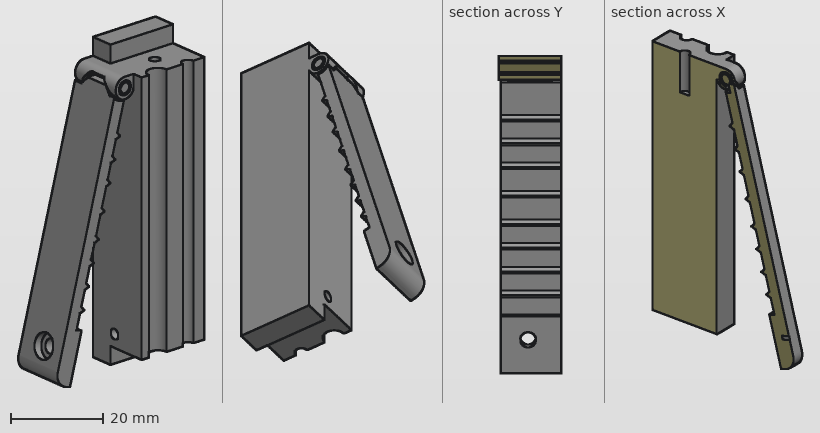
import cadquery as cq
import math

housing_width = 16.3
housing_depth = 17.9
housing_height = 75.3
spine_width = 5.9
end_step = 4.45

small_groove_diameter = 3.0
small_groove_y = 13.25
large_groove_diameter = 5.05
large_groove_y = 4.6

pilot_diameter = 2.5
top_pilot_depth = 10.0
top_pilot_x = 10.25
top_pilot_y = housing_depth / 2

barrel_radius = 2.6
barrel_length = 13.6
bore_diameter = 3.4
hinge_y = -2.5
hinge_z = housing_height - end_step - barrel_radius

window_center_x = barrel_length / 2
window_top = 1.9
window_bottom = -3.4
window_top_width = 4.4
window_side_run = 4.45
window_taper = 15.0

lever_angle = 15.0
lever_width = 13.2
lever_length = 68.05
outer_face = 2.1
inner_face = 0.9
pad_face = 2.4
pad_start = 55.25
tip_radius = 3.4
shoulder_radius = 3.15

tooth_base = 1.5
tooth_height = 1.05
first_tooth = 11.1
tooth_pitch = 5.35
wide_pitch = 6.4
tooth_steps = [tooth_pitch] * 2 + [wide_pitch] * 2 + [tooth_pitch] * 3

lever_screw_x = 7.2
lever_screw_drop = 60.5
lever_screw_diameter = 3.4
counterbore_diameter = 6.0
counterbore_depth = 2.0

pin_diameter = 2.5
tongue_top = 0.45
tongue_root = 3.8
tongue_back = 0.4
tongue_chamfer_depth = 0.75
tongue_chamfer_height = 1.0
tongue_top_width = 3.9


def x_prism(profile, length):
    """Extrude a list of (y, z) points along X from X = 0."""
    return cq.Workplane("YZ").polyline(profile).close().extrude(length)


def x_cylinder(diameter, length, y=0.0, z=0.0):
    return cq.Workplane("YZ").center(y, z).circle(diameter / 2).extrude(length)


def trapezoid(top, bottom, top_width, side_run):
    """Outline widening from top to bottom, symmetric about the local X origin."""
    half_top = top_width / 2
    half_bottom = half_top + side_run
    return [(-half_bottom, bottom), (-half_top, top), (half_top, top), (half_bottom, bottom)]


def make_block():
    spine = cq.Workplane("XY").box(spine_width, housing_depth, housing_height, centered=False)
    body_height = housing_height - 2 * end_step
    body = cq.Workplane("XY").box(housing_width, housing_depth, body_height, centered=False)
    return spine.union(body.translate((0, 0, end_step)))


def make_barrel():
    barrel = x_cylinder(2 * barrel_radius, barrel_length, hinge_y, hinge_z)
    bridge = x_prism(
        [(0, hinge_z), (0, hinge_z + barrel_radius),
         (hinge_y, hinge_z + barrel_radius), (hinge_y, hinge_z)],
        barrel_length,
    )
    return barrel.union(bridge)


def make_window():
    outline = trapezoid(window_top, window_bottom, window_top_width, window_side_run)
    front = cq.Workplane("XZ", origin=(window_center_x, hinge_y - barrel_radius, hinge_z))
    return front.polyline(outline).close().extrude(-barrel_radius, taper=window_taper)


def make_groove(diameter, y):
    return (
        cq.Workplane("XY").center(housing_width, y).circle(diameter / 2).extrude(housing_height)
    )


def make_housing():
    housing = make_block().union(make_barrel())
    housing = housing.cut(x_cylinder(bore_diameter, barrel_length, hinge_y, hinge_z))
    housing = housing.cut(make_window())
    housing = housing.cut(make_groove(small_groove_diameter, small_groove_y))
    housing = housing.cut(make_groove(large_groove_diameter, large_groove_y))

    shelf_z = housing_height - end_step
    top_pilot = (
        cq.Workplane("XY", origin=(top_pilot_x, top_pilot_y, shelf_z))
        .circle(pilot_diameter / 2).extrude(-top_pilot_depth)
    )
    front_pilot = (
        cq.Workplane("XZ", origin=(lever_screw_x, 0, hinge_z - lever_screw_drop))
        .circle(pilot_diameter / 2).extrude(-housing_depth)
    )
    return housing.cut(top_pilot).cut(front_pilot)


def make_arm():
    tip_offset = tip_radius * math.sqrt(0.5)
    tip_center_y = -outer_face + tip_radius
    tip_center_z = -lever_length + tip_radius
    arm = (
        cq.Workplane("YZ")
        .moveTo(-outer_face, 0)
        .lineTo(-outer_face, tip_center_z)
        .threePointArc(
            (tip_center_y - tip_offset, tip_center_z - tip_offset),
            (tip_center_y, -lever_length),
        )
        .lineTo(pad_face, -lever_length)
        .lineTo(pad_face, -pad_start)
        .lineTo(inner_face, -pad_start)
        .lineTo(inner_face, 0)
        .close()
        .extrude(lever_width)
    )
    return arm.cut(x_cylinder(2 * shoulder_radius, lever_width))


def make_tooth(drop):
    half_base = tooth_base / 2
    return x_prism(
        [(0, half_base - drop), (inner_face, half_base - drop), (inner_face + tooth_height, -drop),
         (inner_face, -half_base - drop), (0, -half_base - drop)],
        lever_width,
    )


def make_tongue():
    side = x_prism(
        [(-tongue_back, tongue_top),
         (-outer_face + tongue_chamfer_depth, tongue_top),
         (-outer_face, tongue_top - tongue_chamfer_height),
         (-outer_face, -tongue_root),
         (-tongue_back, -tongue_root)],
        barrel_length,
    )
    flank = tongue_top + math.sqrt(shoulder_radius**2 - outer_face**2)
    half_root = tongue_top_width / 2 + flank
    outline = trapezoid(tongue_top, tongue_top - flank, tongue_top_width, flank)
    outline += [(half_root, -tongue_root), (-half_root, -tongue_root)]
    front = (
        cq.Workplane("XZ", origin=(window_center_x, 0, 0))
        .polyline(outline).close().extrude(outer_face)
    )
    return side.intersect(front)


def make_screw_hole():
    through = (
        cq.Workplane("XZ", origin=(lever_screw_x, -outer_face, -lever_screw_drop))
        .circle(lever_screw_diameter / 2).extrude(-(outer_face + pad_face))
    )
    counterbore = (
        cq.Workplane("XZ", origin=(lever_screw_x, -outer_face, -lever_screw_drop))
        .circle(counterbore_diameter / 2).extrude(-counterbore_depth)
    )
    return through.union(counterbore)


def make_lever():
    lever = make_arm().union(make_tongue()).union(x_cylinder(pin_diameter, barrel_length))
    drop = first_tooth
    lever = lever.union(make_tooth(drop))
    for step in tooth_steps:
        drop += step
        lever = lever.union(make_tooth(drop))
    lever = lever.cut(make_screw_hole())
    opened = lever.rotate((0, 0, 0), (1, 0, 0), -lever_angle)
    return opened.translate((0, hinge_y, hinge_z))


housing = make_housing()
lever = make_lever()

result = cq.Compound.makeCompound([housing.solids().val(), lever.solids().val()])